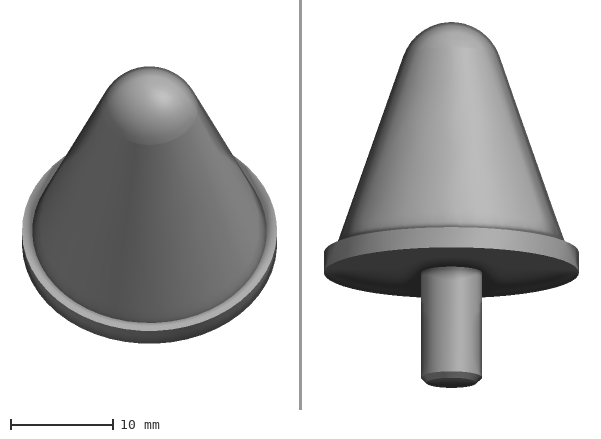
import cadquery as cq
import math

total_height = 35.97

plate_diameter = 25.0
plate_thickness = 2.0
stud_diameter = 6.0
stud_length = 11.0
stud_chamfer = 0.55

bumper_base_diameter = 23.0
tip_radius = 5.0
bumper_height = total_height - stud_length - plate_thickness


def make_mount():
    """Round plate sitting on z = 0, with a chamfered stud below it."""
    plate = cq.Workplane("XY").circle(plate_diameter / 2).extrude(plate_thickness)
    stud = (
        cq.Workplane("XY")
        .circle(stud_diameter / 2)
        .extrude(-stud_length)
        .faces("<Z")
        .chamfer(stud_chamfer)
    )
    return plate.union(stud)


def make_bumper():
    """Cone standing on the plate, with a spherical tip tangent to its side."""
    base_radius = bumper_base_diameter / 2
    base_z = plate_thickness
    tip_center_height = bumper_height - tip_radius

    edge_to_center = math.hypot(base_radius, tip_center_height)
    half_angle = math.atan2(base_radius, tip_center_height) - math.asin(tip_radius / edge_to_center)

    def tip_point(elevation):
        """Point of the tip profile at an elevation above the sphere's equator."""
        radius = tip_radius * math.cos(elevation)
        height = base_z + tip_center_height + tip_radius * math.sin(elevation)
        return (radius, height)

    arc_middle = (half_angle + math.pi / 2) / 2
    apex = (0, base_z + bumper_height)
    profile = (
        cq.Workplane("XZ")
        .moveTo(0, base_z)
        .lineTo(base_radius, base_z)
        .lineTo(*tip_point(half_angle))
        .threePointArc(tip_point(arc_middle), apex)
        .close()
    )
    return profile.revolve(360, (0, 0, 0), (0, 1, 0))


mount = make_mount()
bumper = make_bumper()

result = cq.Compound.makeCompound([mount.val(), bumper.val()])